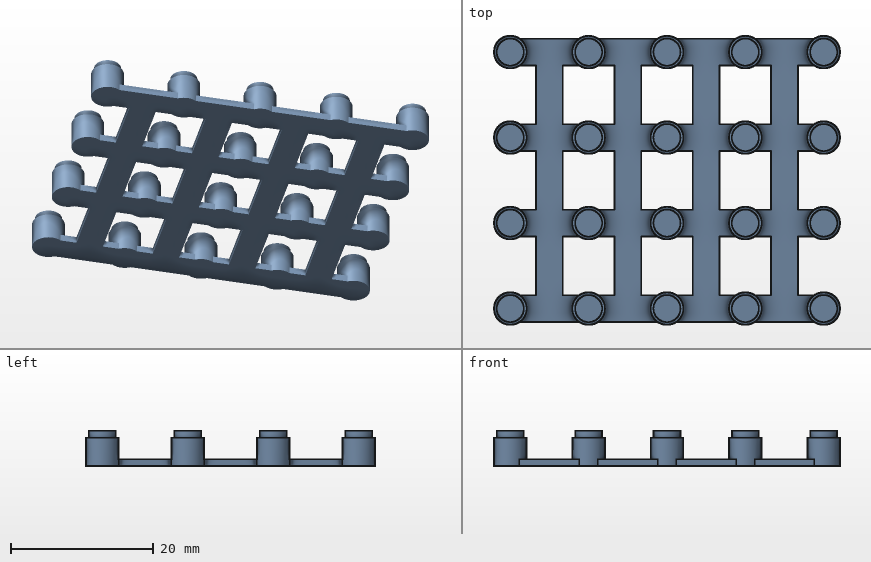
import cadquery as cq

columns = 5
rows = 4
column_pitch = 11.0
row_pitch = 12.0

peg_diameter = 4.6
peg_shoulder_height = 4.0
peg_tip_diameter = 3.8
peg_height = 5.0

strip_width = 3.8
strip_thickness = 1.0

grid_length = (columns - 1) * column_pitch
grid_depth = (rows - 1) * row_pitch
column_positions = [i * column_pitch - grid_length / 2 for i in range(columns)]
row_positions = [j * row_pitch - grid_depth / 2 for j in range(rows)]


def make_peg(x, y):
    """Round peg standing on Z = 0 with a narrower tip."""
    body = cq.Workplane("XY").center(x, y).circle(peg_diameter / 2).extrude(peg_shoulder_height)
    tip = cq.Workplane("XY").center(x, y).circle(peg_tip_diameter / 2).extrude(peg_height)
    return body.union(tip)


def make_row_strip(y):
    """Strip along X, between the end pegs of one row."""
    return cq.Workplane("XY").center(0, y).rect(grid_length, strip_width).extrude(strip_thickness)


def make_cross_strip(x):
    """Strip along Y, between the centre lines of the first and last row strips."""
    return cq.Workplane("XY").center(x, 0).rect(strip_width, grid_depth).extrude(strip_thickness)


result = make_row_strip(row_positions[0])
for y in row_positions[1:]:
    result = result.union(make_row_strip(y))

for x in column_positions[:-1]:
    result = result.union(make_cross_strip(x + column_pitch / 2))

for x in column_positions:
    for y in row_positions:
        result = result.union(make_peg(x, y))